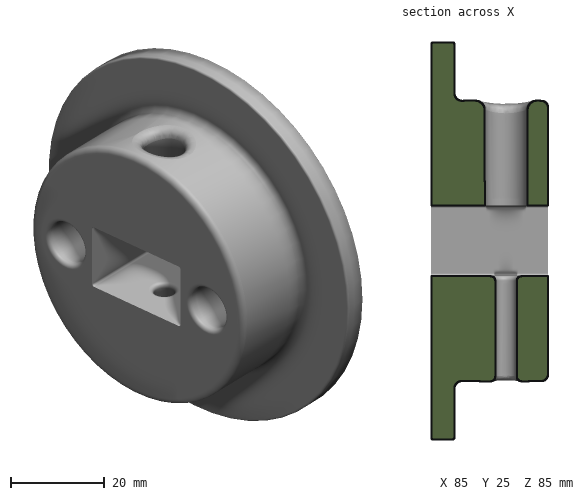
import cadquery as cq

flange_diameter = 85.0
flange_thickness = 5.0
flange_edge_radius = 0.5

boss_diameter = 60.0
total_depth = 25.0
boss_height = total_depth - flange_thickness
boss_edge_radius = 1.5
boss_root_radius = 1.5

window_width = 25.0
window_height = 15.0
window_corner_radius = 0.5

side_hole_diameter = 10.0
side_hole_offset = 20.0
small_rounding = 1.0

cross_bore_setback = 9.0
upper_bore_diameter = 9.0
upper_bore_rounding = 2.0
lower_bore_diameter = 4.5

boss_face_y = -total_depth
cross_bore_y = boss_face_y + cross_bore_setback
boss_radius = boss_diameter / 2
window_floor_z = -window_height / 2


def make_body():
    """Disc flange with a round boss, all rims and the boss root rounded."""
    flange = (
        cq.Workplane("XZ")
        .circle(flange_diameter / 2)
        .extrude(flange_thickness)
        .edges()
        .fillet(flange_edge_radius)
    )
    boss = (
        cq.Workplane("XZ", origin=(0, -flange_thickness, 0))
        .circle(boss_radius)
        .extrude(boss_height)
        .faces("<Y")
        .edges()
        .fillet(boss_edge_radius)
    )
    body = flange.union(boss)
    shoulder = body.faces("|Y").faces("<Y[1]")
    return shoulder.edges(cq.selectors.RadiusNthSelector(0)).fillet(boss_root_radius)


def cut_window(body):
    """Rectangular through window with slightly rounded corners."""
    window = (
        cq.Workplane("XZ")
        .rect(window_width, window_height)
        .extrude(total_depth)
        .edges("|Y")
        .fillet(window_corner_radius)
    )
    return body.cut(window)


def cut_side_holes(body):
    """Two through holes beside the window, rounded at the boss face."""
    for side in (-1, 1):
        hole_x = side * side_hole_offset
        hole = (
            cq.Workplane("XZ", origin=(hole_x, 0, 0))
            .circle(side_hole_diameter / 2)
            .extrude(total_depth)
        )
        rim_point = (hole_x, boss_face_y, 0)
        body = (
            body.cut(hole)
            .edges(cq.selectors.NearestToPointSelector(rim_point))
            .fillet(small_rounding)
        )
    return body


def cut_cross_bores(body):
    """Wide bore above the window and narrow bore below it, on one vertical axis."""
    axis_origin = (0, cross_bore_y, 0)
    upper_bore = cq.Workplane("XY", origin=axis_origin).circle(upper_bore_diameter / 2).extrude(boss_radius)
    lower_bore = cq.Workplane("XY", origin=axis_origin).circle(lower_bore_diameter / 2).extrude(-boss_radius)
    body = body.cut(upper_bore).cut(lower_bore)

    mouths = (
        (boss_radius, upper_bore_rounding),
        (window_floor_z, small_rounding),
        (-boss_radius, small_rounding),
    )
    for mouth_z, rounding in mouths:
        mouth_point = (0, cross_bore_y, mouth_z)
        body = body.edges(cq.selectors.NearestToPointSelector(mouth_point)).fillet(rounding)
    return body


result = cut_cross_bores(cut_side_holes(cut_window(make_body())))